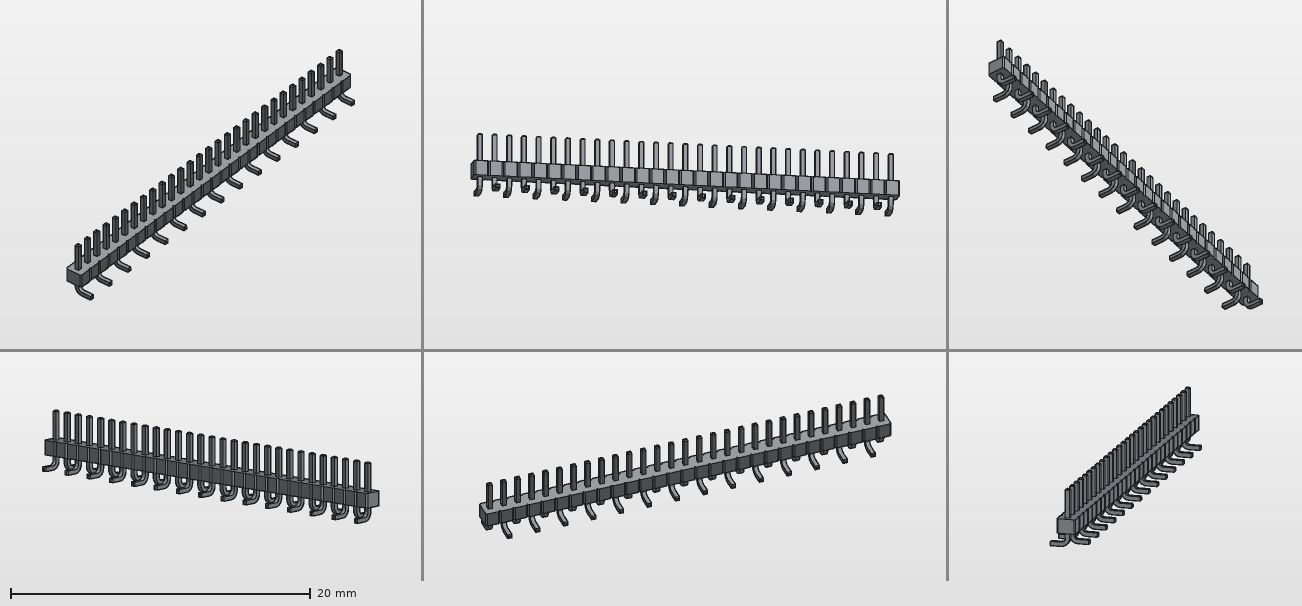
import cadquery as cq

pin_count = 29
pitch = 1.0

body_width = 1.3
body_height = 1.0
body_chamfer = 0.1
body_bottom = 1.0

wire = 0.3
pin_height = 4.0
foot_reach = 1.25
tip_chamfer = wire / 4
bend_inner_radius = 0.3
bend_outer_radius = bend_inner_radius + wire


def body_block(y):
    """Housing block around the pin at y, with its four vertical edges chamfered."""
    block = cq.Workplane("XY").box(body_width, pitch, body_height, centered=(True, True, False))
    return block.edges("|Z").chamfer(body_chamfer).translate((0, y, body_bottom))


def pin(y, side):
    """L-shaped pin at y, standing on z = 0, whose foot points toward +X (side = 1) or -X (side = -1)."""
    half = wire / 2
    bend_center_x = side * (bend_outer_radius - half)
    path = (
        cq.Workplane("XZ")
        .moveTo(0, pin_height)
        .lineTo(0, bend_outer_radius)
        .radiusArc((bend_center_x, half), -side * (bend_inner_radius + half))
        .lineTo(side * foot_reach, half)
    )
    section = cq.Workplane("XY", origin=(0, 0, pin_height)).rect(wire, wire)
    bent_wire = section.sweep(path)
    ends = bent_wire.faces(">Z").add(bent_wire.faces(">X" if side > 0 else "<X"))
    return bent_wire.newObject(ends.edges().vals()).chamfer(tip_chamfer).translate((0, y, 0))


first_y = -(pin_count - 1) * pitch / 2
solids = []
for index in range(pin_count):
    pin_y = first_y + index * pitch
    foot_side = 1 if index % 2 == 0 else -1
    solids.append(body_block(pin_y).val())
    solids.append(pin(pin_y, foot_side).val())

result = cq.Workplane(obj=solids[0].fuse(*solids[1:]).clean())